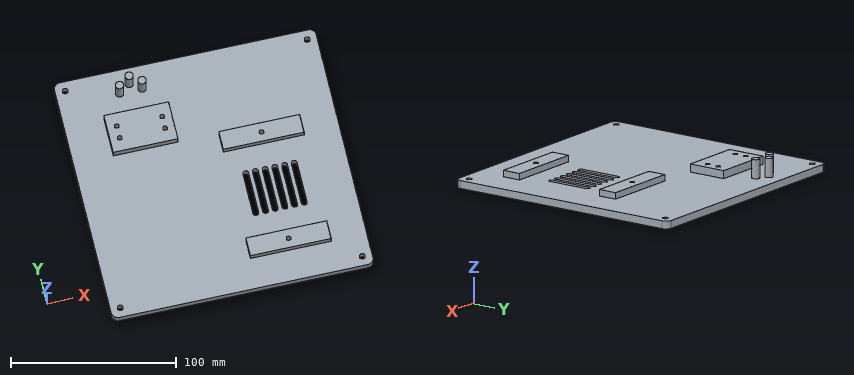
import cadquery as cq

plate_length = 162.0
plate_width = 159.0
plate_thickness = 5.0
corner_radius = 4.0
corner_hole_diameter = 3.4
corner_hole_inset = 6.2

block_length = 40.0
block_width = 25.0
block_height = 5.0
block_x = -36.3
block_y = 37.6
screw_hole_diameter = 2.8
block_hole_spacing_x = 28.0
block_hole_spacing_y = 8.0

pin_diameter = 5.0
total_height = 17.0
pin_height = total_height - plate_thickness
pin_pitch_x = 7.0
side_pin_y = 64.5
middle_pin_y = side_pin_y + 4.7

vent_x = 33.9
vent_y = -17.5
bar_length = 50.0
bar_width = 12.0
bar_height = 4.0
bar_spacing = 72.0

slot_count = 6
slot_pitch = 6.0
slot_length = 30.0
slot_width = 3.4


def on_plate():
    """Workplane on the top face of the plate, with the plate centre as origin."""
    return cq.Workplane("XY").workplane(offset=plate_thickness)


def through_holes(centers, diameter):
    """Vertical cylinders that cut through the full height of the part."""
    return cq.Workplane("XY").pushPoints(centers).circle(diameter / 2).extrude(total_height)


def make_plate():
    plate = cq.Workplane("XY").box(
        plate_length, plate_width, plate_thickness, centered=(True, True, False)
    )
    plate = plate.edges("|Z").fillet(corner_radius)
    hole_x = plate_length / 2 - corner_hole_inset
    hole_y = plate_width / 2 - corner_hole_inset
    centers = [(x, y) for x in (-hole_x, hole_x) for y in (-hole_y, hole_y)]
    return plate.cut(through_holes(centers, corner_hole_diameter))


def make_vent_slots():
    return (
        cq.Workplane("XY")
        .center(vent_x, vent_y)
        .rarray(slot_pitch, 1.6, slot_count, 1)
        .slot2D(slot_length, slot_width, 90)
        .extrude(plate_thickness)
    )


def make_pins():
    centers = [
        (block_x - pin_pitch_x, side_pin_y),
        (block_x, middle_pin_y),
        (block_x + pin_pitch_x, side_pin_y),
    ]
    return on_plate().pushPoints(centers).circle(pin_diameter / 2).extrude(pin_height)


block = on_plate().center(block_x, block_y).rect(block_length, block_width).extrude(block_height)
block_hole_centers = [
    (block_x + side_x * block_hole_spacing_x / 2, block_y + side_y * block_hole_spacing_y / 2)
    for side_x in (-1, 1)
    for side_y in (-1, 1)
]

bar_centers = [(vent_x, vent_y + side * bar_spacing / 2) for side in (-1, 1)]
bars = on_plate().pushPoints(bar_centers).rect(bar_length, bar_width).extrude(bar_height)

result = make_plate().union(block).union(bars).union(make_pins())
result = result.cut(make_vent_slots())
result = result.cut(through_holes(block_hole_centers + bar_centers, screw_hole_diameter))